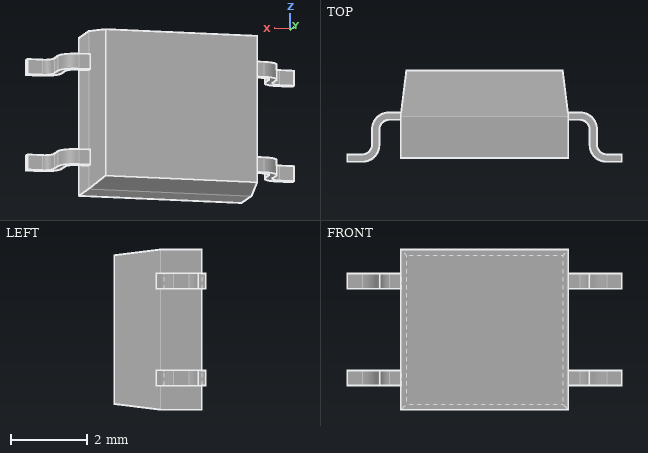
import cadquery as cq
import math


body_length = 4.4
body_width = 4.2
standoff = 0.1
base_thickness = 1.1
crown_thickness = 1.2
crown_inset = 0.15
parting_y = standoff + base_thickness

lead_span = 7.2
lead_width = 0.4
lead_thickness = 0.2
lead_pitch = 2.54
inner_bend_radius = 0.25
foot_flat_length = 0.4
lead_embed = 0.3

bend_radius = inner_bend_radius + lead_thickness / 2


def make_body():
    base = cq.Workplane("XY").box(
        body_length, base_thickness, body_width, centered=(True, False, True)
    ).translate((0, standoff, 0))
    crown_taper = math.degrees(math.atan(crown_inset / crown_thickness))
    crown = (
        cq.Workplane("XZ", origin=(0, parting_y, 0))
        .rect(body_length, body_width)
        .extrude(-crown_thickness, taper=crown_taper)
    )
    return base.union(crown)


def make_right_lead(z_center):
    """S-bent strip leaving the +X side at the parting plane and ending in a foot."""
    half = lead_thickness / 2
    outer_bend_radius = inner_bend_radius + lead_thickness
    root_x = body_length / 2 - lead_embed
    tip_x = lead_span / 2
    lower_bend_x = tip_x - foot_flat_length
    upper_bend_x = lower_bend_x - 2 * bend_radius
    foot_top = lead_thickness
    shoulder_bottom = parting_y - half
    shoulder_top = parting_y + half
    lower_center_y = half + bend_radius
    upper_center_y = parting_y - bend_radius
    diagonal = math.sqrt(0.5)

    def upper_arc_middle(radius):
        return (upper_bend_x + radius * diagonal, upper_center_y + radius * diagonal)

    def lower_arc_middle(radius):
        return (lower_bend_x - radius * diagonal, lower_center_y - radius * diagonal)

    return (
        cq.Workplane("XY", origin=(0, 0, z_center - lead_width / 2))
        .moveTo(root_x, shoulder_top)
        .lineTo(upper_bend_x, shoulder_top)
        .threePointArc(
            upper_arc_middle(outer_bend_radius),
            (upper_bend_x + outer_bend_radius, upper_center_y),
        )
        .lineTo(lower_bend_x - inner_bend_radius, lower_center_y)
        .threePointArc(lower_arc_middle(inner_bend_radius), (lower_bend_x, foot_top))
        .lineTo(tip_x, foot_top)
        .lineTo(tip_x, 0)
        .lineTo(lower_bend_x, 0)
        .threePointArc(
            lower_arc_middle(outer_bend_radius),
            (lower_bend_x - outer_bend_radius, lower_center_y),
        )
        .lineTo(upper_bend_x + inner_bend_radius, upper_center_y)
        .threePointArc(upper_arc_middle(inner_bend_radius), (upper_bend_x, shoulder_bottom))
        .lineTo(root_x, shoulder_bottom)
        .close()
        .extrude(lead_width)
    )


result = make_body()
for z_center in (-lead_pitch / 2, lead_pitch / 2):
    right_lead = make_right_lead(z_center)
    result = result.union(right_lead).union(right_lead.mirror("YZ"))